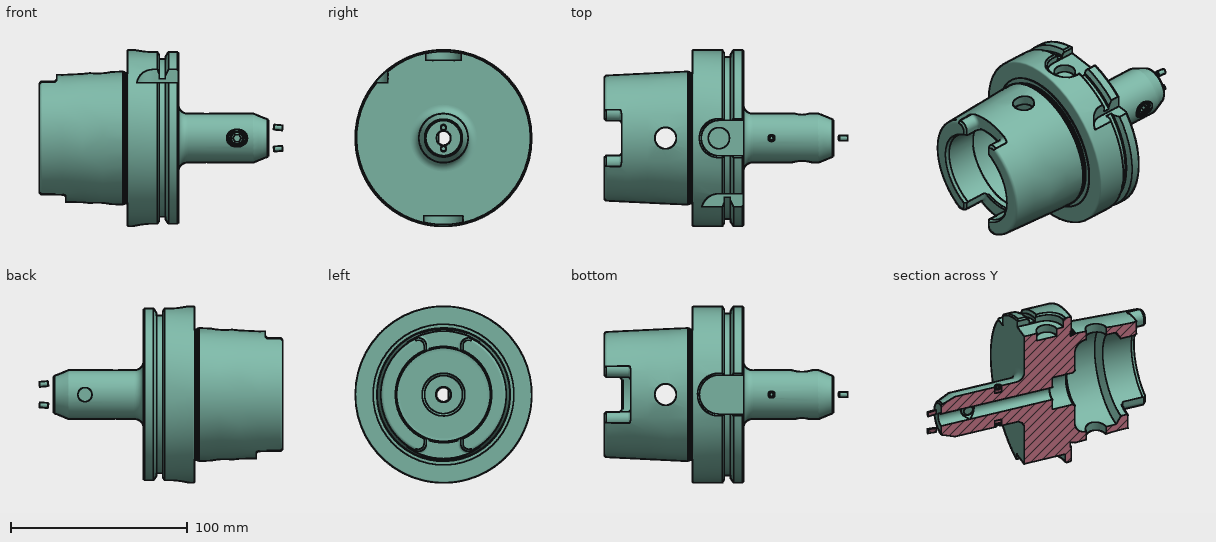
import cadquery as cq
import math


OVERALL_LENGTH = 138.0

SHANK_LENGTH = 50.0
SHANK_END_RADIUS = 35.5
SHANK_BASE_RADIUS = 37.8
SHANK_TAPER_END = -2.5
SHANK_END_FILLET = 1.8
NECK_RADIUS = 37.5
RELIEF_RADIUS = 37.1
RELIEF_START = -1.7
RELIEF_END = -0.4
RELIEF_SLOPE = 0.4
FACE_RELIEF_RADIUS = 39.9
FACE_RELIEF_DEPTH = 0.4

MOUTH_RADIUS = 27.3
MOUTH_BORE_RADIUS = 26.5
MOUTH_LEAD_IN = 2.1
LIP_LENGTH = 19.6
RECESS_RADIUS = 31.5
RECESS_SLOPE = 2.9
CAVITY_DEPTH = 47.6
CAVITY_FLOOR_RADIUS = 24.7
TUBE_BORE_RADIUS = 10.8
TUBE_BORE_CHAMFER = 1.4
TUBE_BORE_DEPTH = 13.8

DRIVE_SLOT_HALF_WIDTH = 9.8
TOP_DRIVE_SLOT_DEPTH = 10.0
BOTTOM_DRIVE_SLOT_DEPTH = 15.0
DRIVE_SLOT_ROUNDING = 4.3
DRIVE_SLOT_FLOOR_FILLET = 1.7
DRIVE_SLOT_CHAMFER = 1.2
DRIVE_SLOT_LEAD_IN = 0.8

CROSS_HOLE_RADIUS = 12.0 / 2
CROSS_HOLE_X = -15.2
KEY_HOLE_DEPTH = 5.0

FLANGE_RADIUS = 100.0 / 2
FLANGE_WIDTH = 29.0
FLANGE_FILLET = 1.0
FLANGE_CHAMFER = 0.8
GROOVE_RADIUS = 46.0
GROOVE_LEFT = 18.1
GROOVE_RIGHT = 21.5
GROOVE_LEFT_MOUTH = 17.0
GROOVE_RIGHT_MOUTH = 23.3
GROOVE_LEFT_FLANK = 2.0
GROOVE_RIGHT_FLANK = 2.8

SLOT_CENTER_X = 15.0
KEY_SLOT_FLOOR = 44.0
TOP_KEY_SLOT_HALF_WIDTH = 20.0 / 2
BOTTOM_KEY_SLOT_HALF_WIDTH = 22.1 / 2
KEY_SLOT_CHAMFER = 1.1
NOTCH_OFFSET = 31.5

NOSE_RADIUS = 14.0
NOSE_END = 80.0
NOSE_ROOT_FILLET = 5.0
NOSE_CONE_START = 71.5
NOSE_CONE_END_RADIUS = 10.8
NOSE_END_CHAMFER = 0.8
NOSE_SHOULDER_FILLET = 1.4
TOOL_BORE_RADIUS = 4.0
TOOL_BORE_CHAMFER = 0.4

CLAMP_X = 62.1
CLAMP_RADIUS = 4.0
CLAMP_COUNTERSINK_RADIUS = 6.0
CLAMP_SPOTFACE_RADIUS = 5.0
CLAMP_TIP = 2.6
CLAMP_LENGTH = 10.0
CLAMP_TIP_CHAMFER = 1.2
CLAMP_HEAD_CHAMFER = 0.7
CLAMP_SOCKET = 4.0
CLAMP_SOCKET_DEPTH = 4.0
BALANCE_HOLE_DEPTH = 4.1

PLUG_X = 44.8
PLUG_RADIUS = 2.0
PLUG_LENGTH = 4.0
PLUG_RECESS = 0.3
PLUG_CHAMFER = 0.4
PLUG_SOCKET = 2.0
PLUG_SOCKET_DEPTH = 2.0

PIN_END = OVERALL_LENGTH - SHANK_LENGTH
PIN_RADIUS = 1.5
PIN_LENGTH = 5.1
PIN_CHAMFER = 0.4
PIN_OFFSET = 12.0 / 2
PIN_TILT = 5.0

CUT_MARGIN = 6.9


def revolve_about_x(outline):
    """Turn a closed outline of (x, radius) about the X axis."""
    return outline.close().revolve(360, (0, 0, 0), (1, 0, 0))


def x_cylinder(radius, start, end):
    return cq.Workplane("YZ", origin=(start, 0, 0)).circle(radius).extrude(end - start)




def shank_blank():
    end = -SHANK_LENGTH
    outline = (
        cq.Workplane("XY")
        .moveTo(end, 0)
        .lineTo(end, SHANK_END_RADIUS)
        .lineTo(SHANK_TAPER_END, SHANK_BASE_RADIUS)
        .lineTo(SHANK_TAPER_END, NECK_RADIUS)
        .lineTo(RELIEF_START, NECK_RADIUS)
        .lineTo(RELIEF_START + RELIEF_SLOPE, RELIEF_RADIUS)
        .lineTo(RELIEF_END, RELIEF_RADIUS)
        .lineTo(FACE_RELIEF_DEPTH, RELIEF_RADIUS - RELIEF_SLOPE)
        .lineTo(FACE_RELIEF_DEPTH, 0)
    )
    return revolve_about_x(outline).faces("<X").edges().fillet(SHANK_END_FILLET)


def cavity():
    end = -SHANK_LENGTH
    lip_end = end + LIP_LENGTH
    floor = end + CAVITY_DEPTH
    corner = RECESS_RADIUS - CAVITY_FLOOR_RADIUS
    corner_mid = corner * math.sqrt(0.5)
    corner_x = floor - corner
    corner_middle = (corner_x + corner_mid, CAVITY_FLOOR_RADIUS + corner_mid)
    tube_end = floor + TUBE_BORE_DEPTH
    outline = (
        cq.Workplane("XY")
        .moveTo(end, 0)
        .lineTo(end, MOUTH_RADIUS)
        .lineTo(end + MOUTH_LEAD_IN, MOUTH_BORE_RADIUS)
        .lineTo(lip_end, MOUTH_BORE_RADIUS)
        .lineTo(lip_end + RECESS_SLOPE, RECESS_RADIUS)
        .lineTo(corner_x, RECESS_RADIUS)
        .threePointArc(corner_middle, (floor, CAVITY_FLOOR_RADIUS))
        .lineTo(floor, TUBE_BORE_RADIUS + TUBE_BORE_CHAMFER)
        .lineTo(floor + TUBE_BORE_CHAMFER, TUBE_BORE_RADIUS)
        .lineTo(tube_end, TUBE_BORE_RADIUS)
        .lineTo(tube_end, TOOL_BORE_RADIUS + TOOL_BORE_CHAMFER)
        .lineTo(tube_end + TOOL_BORE_CHAMFER, TOOL_BORE_RADIUS)
        .lineTo(NOSE_END, TOOL_BORE_RADIUS)
        .lineTo(NOSE_END, 0)
    )
    return revolve_about_x(outline)


def drive_slot_outline(x, growth):
    """Slot section at x, open upwards, with its upper corners rounded onto the shank.

    `growth` moves the whole outline outwards by that distance.
    """
    rounding = DRIVE_SLOT_ROUNDING
    center_y = DRIVE_SLOT_HALF_WIDTH + rounding
    center_z = math.sqrt((SHANK_END_RADIUS - rounding) ** 2 - center_y**2)
    lean = math.atan2(center_z, center_y)
    radius = rounding - growth

    def on_rounding(angle, distance=radius):
        return center_y + distance * math.cos(angle), center_z + distance * math.sin(angle)

    wall = (center_y - radius, center_z)
    middle = on_rounding((math.pi + lean) / 2)
    tangent = on_rounding(lean)
    outside = on_rounding(lean, rounding + CUT_MARGIN)

    def mirrored(point):
        return -point[0], point[1]

    return (
        cq.Workplane("YZ", origin=(x, 0, 0))
        .moveTo(wall[0], 0)
        .lineTo(*wall)
        .threePointArc(middle, tangent)
        .lineTo(*outside)
        .lineTo(*mirrored(outside))
        .lineTo(*mirrored(tangent))
        .threePointArc(mirrored(middle), mirrored(wall))
        .lineTo(-wall[0], 0)
        .close()
    )


def drive_slot(depth):
    start = -SHANK_LENGTH
    slot = drive_slot_outline(start, 0).extrude(depth)
    slot = slot.faces(">X").edges().fillet(DRIVE_SLOT_FLOOR_FILLET)
    wide = drive_slot_outline(start, DRIVE_SLOT_CHAMFER).wires().val()
    narrow = drive_slot_outline(start + DRIVE_SLOT_CHAMFER, 0).wires().val()
    mouth = cq.Solid.makeLoft([wide, narrow], True)
    return slot.union(cq.Workplane(mouth)).union(drive_slot_lead_in(start + depth))


def drive_slot_lead_in(floor_x):
    """Conical lead-in of the bore where it opens into the floor of a drive slot."""
    outline = (
        cq.Workplane("XY", origin=(floor_x, 0, 0))
        .lineTo(0, MOUTH_RADIUS)
        .lineTo(DRIVE_SLOT_LEAD_IN, MOUTH_BORE_RADIUS)
        .lineTo(DRIVE_SLOT_LEAD_IN, 0)
    )
    upper_part = (
        cq.Workplane("YZ", origin=(floor_x, 0, MOUTH_RADIUS / 2))
        .rect(2 * (DRIVE_SLOT_HALF_WIDTH - DRIVE_SLOT_FLOOR_FILLET), MOUTH_RADIUS)
        .extrude(DRIVE_SLOT_LEAD_IN)
    )
    return revolve_about_x(outline).intersect(upper_part)


def half_turn(part):
    return part.rotate((0, 0, 0), (1, 0, 0), 180)




def round_ended_slot(half_width, center_y, floor):
    """Upright slot cutter with a round end, open towards +X and +Z."""
    length = FLANGE_WIDTH + CUT_MARGIN - SLOT_CENTER_X
    return (
        cq.Workplane("XY", origin=(SLOT_CENTER_X, center_y, floor))
        .moveTo(0, half_width)
        .threePointArc((-half_width, 0), (0, -half_width))
        .lineTo(length, -half_width)
        .lineTo(length, half_width)
        .close()
        .extrude(FLANGE_RADIUS)
    )


def slotted_disk(disk, half_width):
    """Cut a key slot into the top of the disk and chamfer its rim."""
    slotted = disk.cut(round_ended_slot(half_width, 0, KEY_SLOT_FLOOR))
    rim_z = math.sqrt(FLANGE_RADIUS**2 - half_width**2)
    slack = 0.1
    rim_box = cq.selectors.BoxSelector(
        (SLOT_CENTER_X - half_width - slack, -half_width - slack, rim_z - slack),
        (FLANGE_WIDTH + slack, half_width + slack, FLANGE_RADIUS + slack),
        boundingbox=True,
    )
    return slotted.edges(rim_box).chamfer(KEY_SLOT_CHAMFER)


def flange_rim():
    """The flange as turned, with its gripper groove and without slots."""
    outline = (
        cq.Workplane("XY")
        .lineTo(0, FLANGE_RADIUS)
        .lineTo(GROOVE_LEFT_MOUTH, FLANGE_RADIUS)
        .lineTo(GROOVE_LEFT, FLANGE_RADIUS - GROOVE_LEFT_FLANK)
        .lineTo(GROOVE_LEFT, GROOVE_RADIUS)
        .lineTo(GROOVE_RIGHT, GROOVE_RADIUS)
        .lineTo(GROOVE_RIGHT, FLANGE_RADIUS - GROOVE_RIGHT_FLANK)
        .lineTo(GROOVE_RIGHT_MOUTH, FLANGE_RADIUS)
        .lineTo(FLANGE_WIDTH, FLANGE_RADIUS)
        .lineTo(FLANGE_WIDTH, 0)
    )
    rim = revolve_about_x(outline).faces("<X").edges().fillet(FLANGE_FILLET)
    return rim.faces(">X").edges().chamfer(FLANGE_CHAMFER)


def flange():
    disk = x_cylinder(FLANGE_RADIUS, 0, FLANGE_WIDTH)
    disk = slotted_disk(disk, TOP_KEY_SLOT_HALF_WIDTH)
    disk = half_turn(slotted_disk(half_turn(disk), BOTTOM_KEY_SLOT_HALF_WIDTH))
    notch_y = -NOTCH_OFFSET - TOP_KEY_SLOT_HALF_WIDTH
    notch = round_ended_slot(TOP_KEY_SLOT_HALF_WIDTH, notch_y, NOTCH_OFFSET)
    key_hole = (
        cq.Workplane("XY", origin=(SLOT_CENTER_X, 0, KEY_SLOT_FLOOR - KEY_HOLE_DEPTH))
        .circle(CROSS_HOLE_RADIUS)
        .extrude(FLANGE_RADIUS)
    )
    face_relief = x_cylinder(FACE_RELIEF_RADIUS, 0, FACE_RELIEF_DEPTH)
    return disk.intersect(flange_rim()).cut(notch).cut(key_hole).cut(face_relief)




def nose():
    root = FLANGE_WIDTH
    fillet = NOSE_ROOT_FILLET
    fillet_mid = fillet * (1 - math.sqrt(0.5))
    outline = (
        cq.Workplane("XY")
        .moveTo(root, 0)
        .lineTo(root, NOSE_RADIUS + fillet)
        .threePointArc((root + fillet_mid, NOSE_RADIUS + fillet_mid), (root + fillet, NOSE_RADIUS))
        .lineTo(NOSE_CONE_START, NOSE_RADIUS)
        .lineTo(NOSE_END - NOSE_END_CHAMFER, NOSE_CONE_END_RADIUS)
        .lineTo(NOSE_END, NOSE_CONE_END_RADIUS - NOSE_END_CHAMFER)
        .lineTo(NOSE_END, 0)
    )
    shoulder = cq.selectors.NearestToPointSelector((NOSE_CONE_START, 0, 0))
    return revolve_about_x(outline).edges(shoulder).fillet(NOSE_SHOULDER_FILLET)




def clamp_hole():
    """Plain hole from the -Y side into the tool bore, with a 45 degree countersink and a flat seat."""
    seat_y = CLAMP_COUNTERSINK_RADIUS - CLAMP_SPOTFACE_RADIUS - NOSE_RADIUS
    outline = (
        cq.Workplane("XY", origin=(CLAMP_X, 0, 0))
        .lineTo(CLAMP_RADIUS, 0)
        .lineTo(CLAMP_RADIUS, seat_y)
        .lineTo(CLAMP_SPOTFACE_RADIUS, seat_y)
        .lineTo(CLAMP_COUNTERSINK_RADIUS + CUT_MARGIN, -NOSE_RADIUS - CUT_MARGIN)
        .lineTo(0, -NOSE_RADIUS - CUT_MARGIN)
        .close()
    )
    return outline.revolve(360, (0, 0, 0), (0, 1, 0))


def clamp_screw():
    screw = (
        cq.Workplane("XZ", origin=(CLAMP_X, -CLAMP_TIP, 0))
        .circle(CLAMP_RADIUS)
        .extrude(CLAMP_LENGTH)
        .faces(">Y").chamfer(CLAMP_TIP_CHAMFER)
        .faces("<Y").chamfer(CLAMP_HEAD_CHAMFER)
    )
    corner_diameter = CLAMP_SOCKET / math.cos(math.pi / 6)
    return screw.faces("<Y").workplane().polygon(6, corner_diameter).cutBlind(-CLAMP_SOCKET_DEPTH)


def balance_hole():
    return (
        cq.Workplane("XZ", origin=(CLAMP_X, NOSE_RADIUS + CUT_MARGIN, 0))
        .circle(CLAMP_RADIUS)
        .extrude(BALANCE_HOLE_DEPTH + CUT_MARGIN)
    )


def plug_bottom():
    return NOSE_RADIUS - PLUG_RECESS - PLUG_LENGTH


def plug_hole():
    return cq.Workplane("XY", origin=(PLUG_X, 0, plug_bottom())).circle(PLUG_RADIUS).extrude(NOSE_RADIUS)


def channel_plug():
    corner_diameter = PLUG_SOCKET / math.cos(math.pi / 6)
    return (
        cq.Workplane("XY", origin=(PLUG_X, 0, plug_bottom()))
        .circle(PLUG_RADIUS)
        .extrude(PLUG_LENGTH)
        .faces(">Z").chamfer(PLUG_CHAMFER)
        .faces(">Z").workplane()
        .polygon(6, corner_diameter)
        .cutBlind(-PLUG_SOCKET_DEPTH)
    )




def loose_pin():
    """Pin above the axis, its far end leaning down; its far edge just reaches PIN_END."""
    tilt = math.radians(PIN_TILT)
    half_span = PIN_LENGTH / 2 * math.cos(tilt) + PIN_RADIUS * math.sin(tilt)
    pin = x_cylinder(PIN_RADIUS, -PIN_LENGTH / 2, PIN_LENGTH / 2).faces("<X").chamfer(PIN_CHAMFER)
    pin = pin.rotate((0, 0, 0), (0, 1, 0), PIN_TILT)
    return pin.translate((PIN_END - half_span, 0, PIN_OFFSET))




def housing_body():
    body = shank_blank().union(flange()).union(nose()).cut(cavity())
    body = body.cut(drive_slot(TOP_DRIVE_SLOT_DEPTH))
    body = body.cut(half_turn(drive_slot(BOTTOM_DRIVE_SLOT_DEPTH)))
    cross_hole = (
        cq.Workplane("XY", origin=(CROSS_HOLE_X, 0, 0))
        .circle(CROSS_HOLE_RADIUS)
        .extrude(SHANK_BASE_RADIUS + CUT_MARGIN, both=True)
    )
    body = body.cut(cross_hole).cut(clamp_hole()).cut(balance_hole())
    return body.cut(plug_hole()).cut(half_turn(plug_hole()))


housing = housing_body()
screw = clamp_screw()
plugs = []
pins = []
for side_angle in (0, 180):
    plugs.append(channel_plug().rotate((0, 0, 0), (1, 0, 0), side_angle))
    pins.append(loose_pin().rotate((0, 0, 0), (1, 0, 0), side_angle))

result = cq.Compound.makeCompound(
    [housing.val(), screw.val()] + [plug.val() for plug in plugs] + [pin.val() for pin in pins]
)